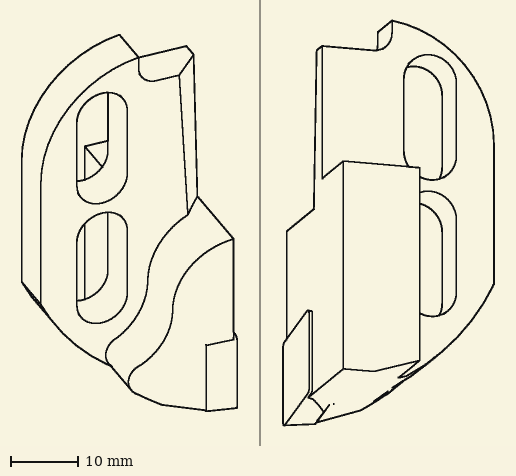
import cadquery as cq
import math

PLATE_X0 = 10.25
PLATE_X1 = 17.2
NOSE_X1 = 27.3
END_RELIEF = 6.7
TOP_Z = 59.0
SHOULDER_Z = 54.15
FLOOR_Z = 1.75
FLOOR_DEPTH = 4.8
HEEL = (-13.2, 4.5)
BELLY_MID = (-19.95, 9.85)
BELLY_TOP = (-26.85, 19.75)
PLATE_DEPTH = -BELLY_TOP[0]

HORN_Y = -10.9
NOTCH_RADIUS = 2.9
CROWN_START_Z = 41.1
SLOT_WIDTH = 8.2
SLOT_LENGTH = 19.25
SLOT_Y = -16.9
SLOT_CENTERS_Z = (44.6, 23.6)
CORNER_CUT_TOP = 4.3
CORNER_CUT_LOW = 2.95

BLOCK_DEPTH = 11.9
BLOCK_TOP_Z = 33.75

NOSE_TOP_Z = 30.1
SHOULDER_RADIUS = 10.85
NECK = (-9.45, 19.3)
THROAT_RADIUS = 10.1
LIP = (-14.35, 10.75)
LIP_MID = (-16.3, 8.0)
LIP_END = (-14.75, 5.6)
BELLY_LOW = (-9.3, 2.05)
TIP_FLOOR_Z = 0.6
ROOT_CREASE = (-FLOOR_DEPTH, 2.0)
TIP_CREASE = (-4.1, 0.7)
SLOPE = (HEEL[1] - FLOOR_Z) / (-FLOOR_DEPTH - HEEL[0])

INSERT_WIDTH = 12.7
INSERT_ANGLE = 80.0
INSERT_RELIEF = 7.0
INSERT_THICKNESS = 4.8
INSERT_RADIUS = 0.8
INSERT_FACE_Y = 0.55
INSERT_X1 = 27.5


def yz(x):
    """Sketch plane at x: local coordinates are Y and Z, extrusion goes to +X."""
    return cq.Workplane("YZ", origin=(x, 0, 0))


def make_block():
    slope_end_z = FLOOR_Z + SLOPE * (BLOCK_DEPTH - FLOOR_DEPTH)
    outline = [
        (0, FLOOR_Z),
        (-FLOOR_DEPTH, FLOOR_Z),
        (-BLOCK_DEPTH, slope_end_z),
        (-BLOCK_DEPTH, BLOCK_TOP_Z),
        (0, BLOCK_TOP_Z),
    ]
    return yz(0).polyline(outline).close().extrude(PLATE_X0)


def corner_cutter():
    """Triangular prism along the far back edge, growing towards the shoulder."""
    growth = (CORNER_CUT_TOP - CORNER_CUT_LOW) / (SHOULDER_Z - NOSE_TOP_Z)
    bottom_z = NECK[1]
    bottom_size = CORNER_CUT_LOW - growth * (NOSE_TOP_Z - bottom_z)

    def triangle(wp, size):
        return wp.polyline([(PLATE_X1, 0), (PLATE_X1 - size, 0), (PLATE_X1, -size)]).close()

    low = triangle(cq.Workplane("XY", origin=(0, 0, bottom_z)), bottom_size)
    return triangle(low.workplane(offset=SHOULDER_Z - bottom_z), CORNER_CUT_TOP).loft(ruled=True)


def make_plate():
    thickness = PLATE_X1 - PLATE_X0
    crown_rise = TOP_Z - CROWN_START_Z
    crown_run = HORN_Y + PLATE_DEPTH
    crown_radius = (crown_run**2 + crown_rise**2) / (2 * crown_run)
    half_angle = math.atan2(crown_rise, crown_radius - crown_run) / 2
    crown_mid = (
        -PLATE_DEPTH + crown_radius * (1 - math.cos(half_angle)),
        CROWN_START_Z + crown_radius * math.sin(half_angle),
    )
    plate = (
        yz(PLATE_X0)
        .moveTo(0, FLOOR_Z)
        .lineTo(-FLOOR_DEPTH, FLOOR_Z)
        .lineTo(*HEEL)
        .threePointArc(BELLY_MID, BELLY_TOP)
        .lineTo(-PLATE_DEPTH, CROWN_START_Z)
        .threePointArc(crown_mid, (HORN_Y, TOP_Z))
        .lineTo(HORN_Y, SHOULDER_Z + NOTCH_RADIUS)
        .radiusArc((HORN_Y + NOTCH_RADIUS, SHOULDER_Z), -NOTCH_RADIUS)
        .lineTo(0, SHOULDER_Z)
        .close()
        .extrude(thickness)
    )
    slots = (
        yz(PLATE_X0)
        .pushPoints([(SLOT_Y, z) for z in SLOT_CENTERS_Z])
        .slot2D(SLOT_LENGTH, SLOT_WIDTH, 90)
        .extrude(thickness)
    )
    return plate.cut(slots).cut(corner_cutter())


def nose_side_profile(x0):
    """Shoulder, throat and lip of the nose; the belly curve runs on below the heel."""
    return (
        yz(x0)
        .moveTo(0, NOSE_TOP_Z)
        .radiusArc(NECK, -SHOULDER_RADIUS)
        .radiusArc(LIP, THROAT_RADIUS)
        .threePointArc(LIP_MID, LIP_END)
        .threePointArc(HEEL, BELLY_LOW)
        .lineTo(BELLY_LOW[0], TIP_FLOOR_Z)
        .lineTo(0, TIP_FLOOR_Z)
        .close()
        .extrude(NOSE_X1 - x0)
    )


def nose_underside():
    """Room above the underside, which drops from the plate towards the tip."""
    front_y = -PLATE_DEPTH

    def section(wp, floor_z, crease):
        front_z = crease[1] + SLOPE * (crease[0] - front_y)
        points = [(0, floor_z), crease, (front_y, front_z), (front_y, TOP_Z), (0, TOP_Z)]
        return wp.polyline(points).close()

    length = NOSE_X1 - PLATE_X1
    level = section(yz(PLATE_X1), FLOOR_Z, (-FLOOR_DEPTH, FLOOR_Z)).extrude(length)
    root = section(yz(PLATE_X1), FLOOR_Z, ROOT_CREASE)
    dropping = section(root.workplane(offset=length), TIP_FLOOR_Z, TIP_CREASE).loft(ruled=True)
    return level.union(dropping)


def make_nose():
    lean = PLATE_DEPTH * math.tan(math.radians(END_RELIEF))
    end_relief = (
        cq.Workplane("XY")
        .polyline([(NOSE_X1, 0), (NOSE_X1, -PLATE_DEPTH), (NOSE_X1 - lean, -PLATE_DEPTH)])
        .close()
        .extrude(TOP_Z)
    )
    nose = nose_side_profile(PLATE_X1).intersect(nose_underside()).cut(end_relief)
    root_x = PLATE_X1 - CORNER_CUT_TOP
    corner_room = (
        cq.Workplane("XY")
        .box(PLATE_X1 - root_x, CORNER_CUT_TOP, NOSE_TOP_Z - NECK[1], centered=False)
        .translate((root_x, -CORNER_CUT_TOP, NECK[1]))
    )
    corner_fill = nose_side_profile(root_x).intersect(corner_room)
    return nose.union(corner_fill)


def make_insert():
    tilt = math.radians(90 - INSERT_ANGLE)
    edge = INSERT_WIDTH / math.cos(tilt)
    rise = INSERT_WIDTH * math.tan(tilt)
    corner_z = INSERT_RADIUS * (1 - 1 / math.cos(tilt) - math.tan(tilt))
    left_x = INSERT_X1 - INSERT_WIDTH
    outline = [
        (INSERT_X1, corner_z),
        (INSERT_X1, corner_z + edge),
        (left_x, corner_z + edge + rise),
        (left_x, corner_z + rise),
    ]
    blank = (
        cq.Workplane("XZ", origin=(0, INSERT_FACE_Y, 0))
        .polyline(outline)
        .close()
        .extrude(INSERT_THICKNESS)
        .edges("|Y")
        .fillet(INSERT_RADIUS)
    )
    face_outline = blank.faces(">Y").wires().vals()
    sketch = cq.Workplane("XZ", origin=(0, INSERT_FACE_Y, 0)).add(face_outline)
    return sketch.toPending().extrude(INSERT_THICKNESS, taper=INSERT_RELIEF)


insert = make_insert()
holder = make_plate().union(make_block()).union(make_nose()).cut(insert)

result = cq.Compound.makeCompound([holder.val(), insert.val()])